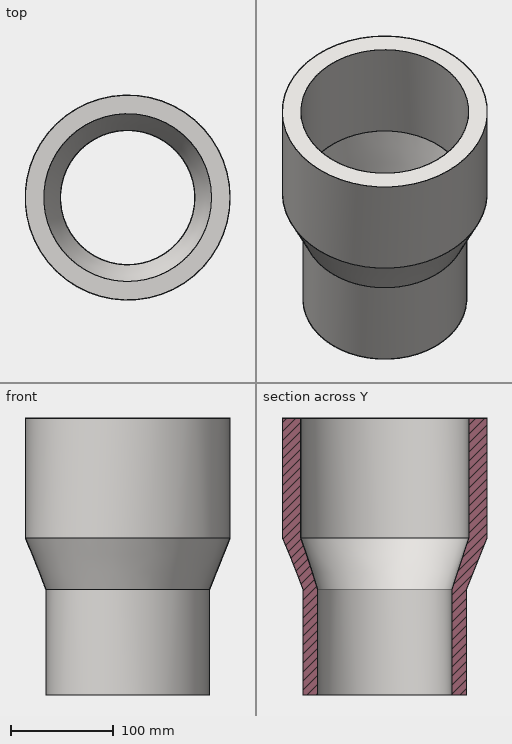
import cadquery as cq

large_diameter = 200.0
large_wall = 18.2
large_length = 117.0

small_diameter = 160.0
small_wall = 14.6
small_length = 103.0

taper_length = 50.0

taper_bottom = small_length
taper_top = taper_bottom + taper_length
total_length = taper_top + large_length


def stepped_body(small_radius, large_radius):
    """Solid of revolution about Z: small cylinder, cone, large cylinder."""
    return (
        cq.Workplane("XZ")
        .moveTo(0, 0)
        .lineTo(small_radius, 0)
        .lineTo(small_radius, taper_bottom)
        .lineTo(large_radius, taper_top)
        .lineTo(large_radius, total_length)
        .lineTo(0, total_length)
        .close()
        .revolve(360, (0, 0, 0), (0, 1, 0))
    )


outer_body = stepped_body(small_diameter / 2, large_diameter / 2)
bore = stepped_body(small_diameter / 2 - small_wall, large_diameter / 2 - large_wall)

result = outer_body.cut(bore)